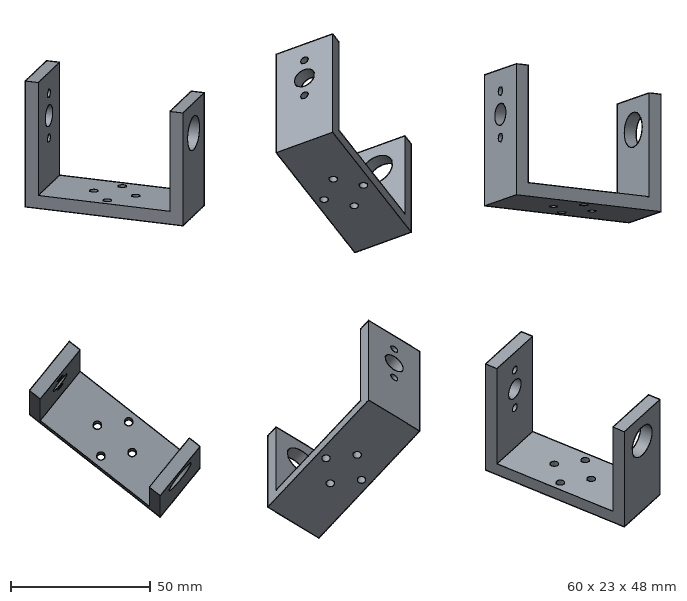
import cadquery as cq

length = 60
width = 23.0
left_height = 48
wall = 5.0
right_height = left_height - wall

screw_diameter = 3
base_hole_radius = 8.0
axis_height = 31.5
shaft_diameter = 8.0
bearing_diameter = 12.7
side_screw_offset = 8.5


def bracket_body():
    """U profile with its underside on Z = 0, centred on X and Y."""
    half_length = length / 2
    inner_half = half_length - wall
    profile = [
        (-half_length, 0),
        (half_length, 0),
        (half_length, right_height),
        (inner_half, right_height),
        (inner_half, wall),
        (-inner_half, wall),
        (-inner_half, left_height),
        (-half_length, left_height),
    ]
    return cq.Workplane("XZ").polyline(profile).close().extrude(width / 2, both=True)


def wall_hole(wall_start, height, diameter):
    """Cutter along X through the wall whose lower X face is at wall_start."""
    plane = cq.Workplane("YZ", origin=(wall_start, 0, height))
    return plane.circle(diameter / 2).extrude(wall)


def base_holes():
    """Four screw hole cutters through the base, on a circle."""
    pattern = cq.Workplane("XY").polarArray(base_hole_radius, 0, 360, 4)
    return pattern.circle(screw_diameter / 2).extrude(wall)


left_wall_start = -length / 2
right_wall_start = length / 2 - wall

result = bracket_body().cut(base_holes())
result = result.cut(wall_hole(left_wall_start, axis_height, shaft_diameter))
result = result.cut(wall_hole(right_wall_start, axis_height, bearing_diameter))
for offset in (-side_screw_offset, side_screw_offset):
    result = result.cut(wall_hole(left_wall_start, axis_height + offset, screw_diameter))